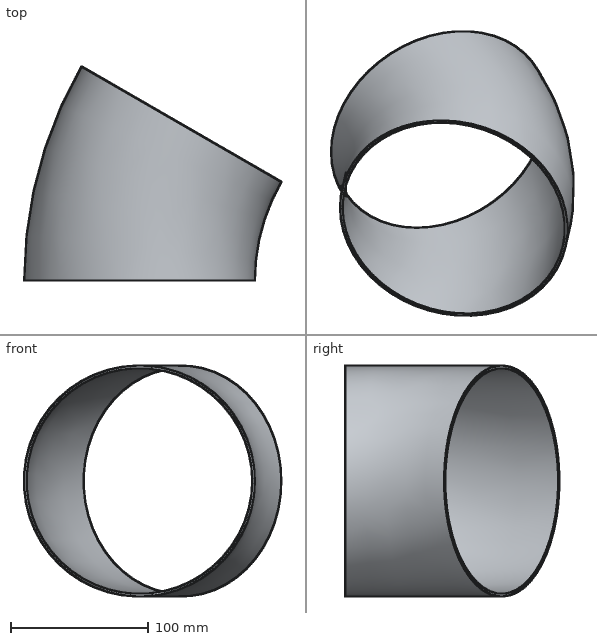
import cadquery as cq
import math

overall_length = 187.5
bend_radius = 228.0
bend_angle = 30.0
wall_thickness = 2.0

bend_cosine = math.cos(math.radians(bend_angle))
outer_radius = (overall_length - bend_radius * (1 - bend_cosine)) / (1 + bend_cosine)
inner_radius = outer_radius - wall_thickness

axis_start = (bend_radius, 0)
axis_end = (bend_radius, -1)

pipe_section = cq.Workplane("XZ").circle(outer_radius).circle(inner_radius)
result = pipe_section.revolve(bend_angle, axis_start, axis_end)